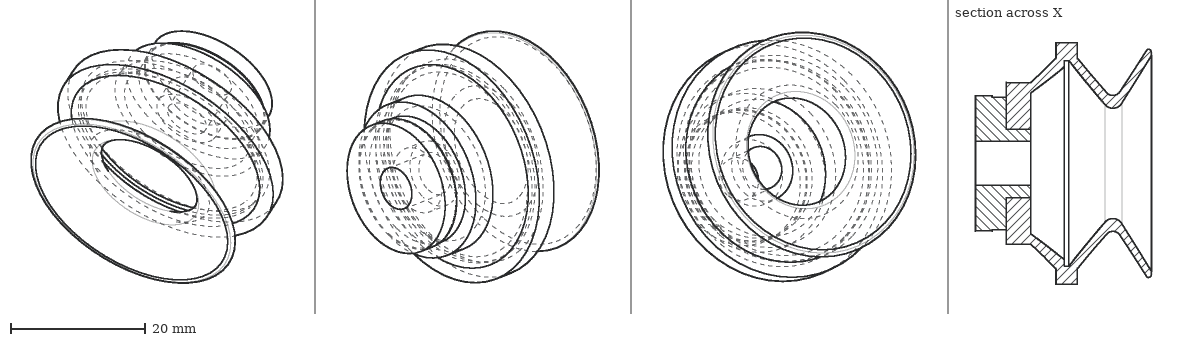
import cadquery as cq
import math

length = 26.2
disc_thickness = 2.5
neck_length = 2.1
neck_back = length - disc_thickness
hub_back = neck_back - neck_length
hub_front = 17.95
flange_back = 14.22
flange_front = 11.05
throat_station = 5.75

flange_radius = 18.0
cone_radius = 15.75
hub_radius = 12.05
throat_outer_radius = 10.15
throat_outer_round = 1.22
lip_radius = 17.03
lip_front_round = 0.5
lip_back_round = 0.3

mouth_radius = 16.05
throat_inner_radius = 8.17
throat_inner_round = 1.55
chamber_radius = 15.25
chamber_front = 12.3
chamber_seat = 12.95
chamber_seat_radius = 14.3
floor_radius = 10.45
floor_station = hub_front

disc_radius = 10.08
neck_radius = 9.9
sleeve_radius = 5.05
bore_radius = 3.25


def point_on_circle(center, radius, angle):
    return (center[0] + radius * math.cos(angle), center[1] + radius * math.sin(angle))


def direction_and_distance(start, end):
    dr = end[0] - start[0]
    dy = end[1] - start[1]
    return math.atan2(dy, dr), math.hypot(dr, dy)


def tangent_point(point, center, radius, side):
    """Point where a line from `point` touches a circle; `side` (+1 or -1) picks which of the two."""
    direction, distance = direction_and_distance(center, point)
    return point_on_circle(center, radius, direction + side * math.acos(radius / distance))


def lip_to_throat_tangent(lip_center, throat_center):
    """Ends of the line that touches the lip round and the throat round on opposite sides."""
    direction, distance = direction_and_distance(lip_center, throat_center)
    angle = direction - math.acos((lip_back_round + throat_outer_round) / distance)
    on_lip = point_on_circle(lip_center, lip_back_round, angle)
    on_throat = point_on_circle(throat_center, throat_outer_round, angle + math.pi)
    return on_lip, on_throat


def revolve_about_y(profile):
    """Close a half section, drawn with X as radius and Y along the axis, and turn it into a solid."""
    return profile.close().revolve(360, (0, 0, 0), (0, 1, 0))


def make_cup():
    """Flared lip, narrow throat, flange and hub, hollow up to the floor around the fitting."""
    mouth_edge = (mouth_radius, 0)
    flange_root = (cone_radius, flange_front)
    chamber_edge = (chamber_radius, chamber_front)

    outer_center = (throat_outer_radius + throat_outer_round, throat_station)
    outer_waist = (throat_outer_radius, throat_station)
    lip_center = (lip_radius - lip_back_round, lip_front_round)
    lip_back, outer_front = lip_to_throat_tangent(lip_center, outer_center)
    outer_back = tangent_point(flange_root, outer_center, throat_outer_round, 1)

    inner_center = (throat_inner_radius + throat_inner_round, throat_station)
    inner_waist = (throat_inner_radius, throat_station)
    inner_front = tangent_point(mouth_edge, inner_center, throat_inner_round, -1)
    inner_back = tangent_point(chamber_edge, inner_center, throat_inner_round, 1)

    lip_front = (lip_radius - lip_front_round, 0)
    lip_widest = (lip_radius, lip_front_round)

    profile = (
        cq.Workplane("XY")
        .moveTo(*mouth_edge)
        .lineTo(*lip_front)
        .tangentArcPoint(lip_widest, relative=False)
        .tangentArcPoint(lip_back, relative=False)
        .lineTo(*outer_front)
        .threePointArc(outer_waist, outer_back)
        .lineTo(*flange_root)
        .lineTo(flange_radius, flange_front)
        .lineTo(flange_radius, flange_back)
        .lineTo(cone_radius, flange_back)
        .lineTo(hub_radius, hub_front)
        .lineTo(hub_radius, hub_back)
        .lineTo(sleeve_radius, hub_back)
        .lineTo(sleeve_radius, floor_station)
        .lineTo(floor_radius, floor_station)
        .lineTo(chamber_seat_radius, chamber_seat)
        .lineTo(chamber_radius, chamber_seat)
        .lineTo(*chamber_edge)
        .lineTo(*inner_back)
        .threePointArc(inner_waist, inner_front)
    )
    return revolve_about_y(profile)


def make_fitting():
    """Bored sleeve through the floor of the cup, with a neck and a disc behind the hub."""
    profile = (
        cq.Workplane("XY")
        .moveTo(bore_radius, floor_station)
        .lineTo(sleeve_radius, floor_station)
        .lineTo(sleeve_radius, hub_back)
        .lineTo(neck_radius, hub_back)
        .lineTo(neck_radius, neck_back)
        .lineTo(disc_radius, neck_back)
        .lineTo(disc_radius, length)
        .lineTo(bore_radius, length)
    )
    return revolve_about_y(profile)


cup = make_cup()
fitting = make_fitting()
result = cq.Compound.makeCompound([cup.val(), fitting.val()])